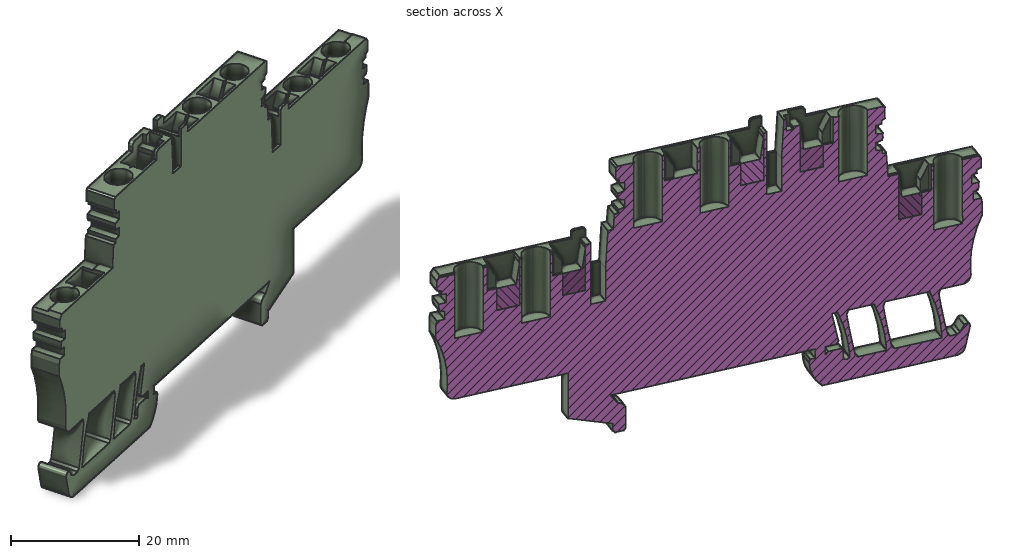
import cadquery as cq


thickness = 5.1
half_length = 46.3
total_height = 50.45
upper_deck_z = 48.8
lower_deck_z = 36.0
lower_deck_drop = 0.25
base_z = 12.8
rail_z = 7.0
upper_center_y = -7.0
upper_half_length = 22.8
upper_root_half_length = 23.35
mid_x = 0.13

overlap = 1.0

lower_end_half = 44.4
lower_end_arc_start_z = 14.3
lower_end_arc_mid = (45.05, 21.5)
lower_end_arc_end = (half_length, 24.75)
base_corner = lower_end_arc_start_z - base_z
lower_teeth = [
    (half_length, 27.0),
    (46.1, 27.9), (44.8, 27.9), (44.8, 29.3), (45.6, 29.5),
    (45.75, 30.1), (45.75, 30.9), (44.55, 30.9), (44.55, 32.4), (45.4, 32.6),
    (45.4, 33.2), (46.1, 33.45), (46.1, 35.2), (45.55, lower_deck_z),
]
upper_teeth = [
    (upper_root_half_length, lower_deck_z),
    (23.05, 40.1), (22.35, 40.2), (22.35, 40.8), (21.3, 41.0), (21.3, 42.3),
    (22.3, 42.6), (22.5, 43.1), (22.5, 43.8), (21.3, 44.05), (21.3, 45.4), (22.25, 45.6),
    (22.25, 46.2), (upper_half_length, 46.45), (upper_half_length, 48.5), (22.5, upper_deck_z),
]

groove_slit_x = (-1.95, -1.65)
groove_slit_depth = 0.3
lower_grooves = [(44.8, 27.9, 29.3), (44.55, 30.9, 32.4)]
upper_grooves = [(21.3, 41.0, 42.3), (21.3, 44.05, 45.4)]

lower_hump_y = (22.35, 20.0)
lower_hump_z = 37.4
lower_hump_round = 0.5
lower_bridge_step_y = 16.3
upper_hump_y = (-7.8, -17.2)
upper_hump_round = 0.75
hump_notch_x = (-1.15, 1.15)
hump_notch_y = (-13.15, -14.2)
hump_notch_depth = 0.5
upper_slot_wall_y = -9.8
bridge_slots = [
    (lower_hump_y[1], 30.6, lower_hump_z),
    (upper_slot_wall_y, 43.45, total_height),
]
slot_top_width = 2.85
slot_floor_width = 2.45
bridge_shaft_x = (-1.57, 2.05)
bridge_shaft_depth = 6.0

terminals = [
    (40.65, 37.3, lower_deck_z, True),
    (29.25, 26.15, lower_deck_z, True),
    (10.3, 7.2, upper_deck_z, False),
    (-0.9, -4.0, upper_deck_z, True),
    (-24.4, -20.72, upper_deck_z, True),
    (-40.5, -37.35, lower_deck_z, True),
]
entry_width = 4.2
entry_length = 4.75
entry_depth = 12.0
pocket_width = 3.9
pocket_length = 5.2
pocket_depth = 4.6
ramp_run = 1.4
ramp_drop = 2.6
ramp_slit_width = 0.5
ramp_slit_tip = 0.45
button_height = 4.0
button_lip_top = 0.8
button_lip_thickness = 0.55

foot_bar_top = 3.9
leg_tops_y = (-21.75, -27.95, -37.35)
leg_root_fillet = 0.45
hook_top_z = 5.4
hook_notch_y = 17.55
foot_web_y = (-17.95, -19.7)
web_x = (-0.5, thickness / 2)


def extrude_x(sketch, x_range):
    """Extrude a closed YZ outline between two X positions."""
    start, end = x_range
    return sketch.extrude(end - start).translate((start, 0, 0))


def block(x_range, y_range, z_range):
    """Box from its limits along each axis, in any order."""
    sizes = [abs(b - a) for a, b in (x_range, y_range, z_range)]
    lows = [min(limits) for limits in (x_range, y_range, z_range)]
    return cq.Workplane("XY").box(*sizes, centered=False).translate(tuple(lows))


full_x = (-thickness / 2, thickness / 2)
pocket_x = (mid_x - pocket_width / 2, mid_x + pocket_width / 2)


def lower_body():
    """Wide lower block: toothed ends, curved flanks, rounded bottom corners."""
    teeth_left = [(-y, z) for y, z in reversed(lower_teeth)]
    arc_y, arc_z = lower_end_arc_mid
    flank_y, flank_z = lower_end_arc_end
    sketch = (
        cq.Workplane("YZ")
        .moveTo(lower_end_half - base_corner, base_z)
        .radiusArc((lower_end_half, lower_end_arc_start_z), -base_corner)
        .threePointArc((arc_y, arc_z), (flank_y, flank_z))
    )
    for point in lower_teeth + teeth_left:
        sketch = sketch.lineTo(*point)
    sketch = (
        sketch.lineTo(-flank_y, flank_z)
        .threePointArc((-arc_y, arc_z), (-lower_end_half, lower_end_arc_start_z))
        .radiusArc((base_corner - lower_end_half, base_z), -base_corner)
        .close()
    )
    seam_step = block(
        (full_x[0], mid_x), (-half_length, half_length), (lower_deck_z - lower_deck_drop, lower_deck_z)
    )
    return extrude_x(sketch, full_x).cut(seam_step)


def upper_body():
    """Narrower upper block with the same kind of toothed ends."""
    root = [(upper_root_half_length, lower_deck_z - overlap)]
    half = root + upper_teeth
    outline = [(upper_center_y + y, z) for y, z in half]
    outline += [(upper_center_y - y, z) for y, z in reversed(half)]
    return extrude_x(cq.Workplane("YZ").polyline(outline).close(), full_x)


def hump(y_range, root_z, top_z, corner):
    """Raised marker strip with rounded upper corners."""
    strip = block(full_x, y_range, (root_z - overlap, top_z))
    return strip.edges("|X and >Z").fillet(corner)


def humps():
    lower_far_side = block(
        full_x,
        (lower_hump_y[1], lower_bridge_step_y - overlap),
        (lower_deck_z - overlap, lower_hump_z),
    )
    lower = hump(lower_hump_y, lower_deck_z, lower_hump_z, lower_hump_round).union(lower_far_side)
    upper = hump(upper_hump_y, upper_deck_z, total_height, upper_hump_round)
    return lower.union(upper)


def rail_section():
    """Middle block down to the rail face, with the fixed rail hook at its +Y end."""
    sketch = (
        cq.Workplane("YZ")
        .moveTo(23.85, base_z + overlap)
        .lineTo(23.85, 4.5)
        .lineTo(16.3, 1.7)
        .lineTo(16.3, 0.4)
        .lineTo(15.9, 0)
        .lineTo(14.4, 0)
        .lineTo(14.05, 0.4)
        .lineTo(14.05, 4.2)
        .threePointArc((14.6, 4.95), (15.4, hook_top_z))
        .lineTo(hook_notch_y, hook_top_z)
        .lineTo(hook_notch_y, rail_z)
        .lineTo(-21.6, rail_z)
        .lineTo(-21.95, 7.6)
        .lineTo(-20.85, base_z)
        .lineTo(-20.85, base_z + overlap)
        .close()
    )
    return extrude_x(sketch, full_x)


def rail_foot():
    """Springy foot: a bar with a catch at each end."""
    sketch = (
        cq.Workplane("YZ")
        .moveTo(-19.2, 0)
        .threePointArc((-17.65, 2.05), (-16.9, 4.85))
        .lineTo(-17.1, hook_top_z)
        .lineTo(-19.45, hook_top_z)
        .lineTo(-20.15, 6.1)
        .lineTo(-22.2, 6.1)
        .threePointArc((-22.65, 5.9), (-22.8, 5.4))
        .lineTo(-22.8, 4.2)
        .threePointArc((-23.25, foot_bar_top), (-23.7, 4.2))
        .lineTo(-24.5, foot_bar_top)
        .lineTo(-42.0, foot_bar_top)
        .lineTo(-42.5, 4.2)
        .lineTo(-43.2, 5.35)
        .threePointArc((-43.95, 5.4), (-44.25, 4.8))
        .lineTo(-43.45, 1.25)
        .threePointArc((-42.95, 0.4), (-42.0, 0))
        .close()
    )
    return extrude_x(sketch, full_x)


def leg(top_y):
    """Thin curved leg hanging from the base, tapering down to the foot bar."""
    sketch = (
        cq.Workplane("YZ")
        .moveTo(top_y, base_z + overlap)
        .lineTo(top_y, base_z)
        .threePointArc((top_y - 1.35, 8.8), (top_y - 2.05, foot_bar_top + leg_root_fillet))
        .lineTo(top_y - 2.05, foot_bar_top - overlap)
        .lineTo(top_y - 3.45, foot_bar_top - overlap)
        .lineTo(top_y - 3.45, foot_bar_top)
        .lineTo(top_y - 3.05, foot_bar_top + leg_root_fillet)
        .threePointArc((top_y - 2.15, 8.8), (top_y - 1.6, 12.1))
        .lineTo(top_y - 1.9, base_z)
        .lineTo(top_y - 1.9, base_z + overlap)
        .close()
    )
    return extrude_x(sketch, full_x)


def rail_webs():
    """Small webs that close the hook notch and join the foot to the rail face."""
    hook_web = [
        (hook_notch_y, rail_z),
        (16.65, rail_z),
        (15.4, hook_top_z),
        (hook_notch_y, hook_top_z),
    ]
    webs = extrude_x(cq.Workplane("YZ").polyline(hook_web).close(), web_x)
    return webs.union(block(web_x, foot_web_y, (hook_top_z - overlap, rail_z + overlap)))


def bridge_slot(wall_y, floor_z, top_z):
    """Tapered slot across the housing with a deeper shaft for a plug-in bridge."""
    floor_far_y = wall_y - slot_floor_width
    outline = [
        (wall_y, floor_z),
        (wall_y, top_z),
        (wall_y - slot_top_width, top_z),
        (floor_far_y, floor_z),
    ]
    slot = extrude_x(cq.Workplane("YZ").polyline(outline).close(), full_x)
    shaft = block(bridge_shaft_x, (wall_y, floor_far_y), (floor_z - bridge_shaft_depth, floor_z))
    return slot.union(shaft)


def hump_openings():
    """Passages that carry on from the pockets through the humps, at deck level."""
    lower = block(pocket_x, lower_hump_y, (lower_deck_z - lower_deck_drop, total_height))
    upper_near = block(pocket_x, (upper_hump_y[0], upper_slot_wall_y), (upper_deck_z, total_height))
    upper_far = block(pocket_x, (hump_notch_y[1], upper_hump_y[1]), (upper_deck_z, total_height))
    notch = block(hump_notch_x, hump_notch_y, (upper_deck_z - hump_notch_depth, total_height))
    return [lower, upper_near, upper_far, notch]


def wire_entry(entry_y, deck_z):
    """Blind hole for the wire, slightly elongated along the housing."""
    return (
        cq.Workplane("XY", origin=(0, entry_y, deck_z - entry_depth))
        .slot2D(entry_length, entry_width, 90)
        .extrude(entry_depth)
    )


def entry_side(entry_y, edge_y):
    """+1 where the wire entry lies on the +Y side of its pocket, else -1."""
    return 1 if entry_y > edge_y else -1


def button_pocket(entry_y, edge_y, deck_z, has_button):
    """Pocket with a slit ramp beside the wire entry; it is deeper where a button sits."""
    side = entry_side(entry_y, edge_y)
    end_y = edge_y - side * pocket_length
    ramp_foot_y = edge_y - side * ramp_run
    floor_z = deck_z - pocket_depth
    bottom_z = floor_z - button_height if has_button else floor_z
    outline = [
        (edge_y, deck_z),
        (ramp_foot_y, deck_z - ramp_drop),
        (ramp_foot_y, bottom_z),
        (end_y, bottom_z),
        (end_y, deck_z),
    ]
    pocket = extrude_x(cq.Workplane("YZ").polyline(outline).close(), pocket_x)
    half_slit = ramp_slit_width / 2
    slit_outline = [
        (mid_x - half_slit, ramp_foot_y),
        (mid_x - half_slit, edge_y),
        (mid_x, edge_y + side * ramp_slit_tip),
        (mid_x + half_slit, edge_y),
        (mid_x + half_slit, ramp_foot_y),
    ]
    slit = (
        cq.Workplane("XY", origin=(0, 0, floor_z))
        .polyline(slit_outline)
        .close()
        .extrude(pocket_depth)
    )
    return pocket.union(slit)


def groove_slits():
    """Slits in the groove floors at both ends of both levels."""
    slits = []
    for center_y, grooves in ((0, lower_grooves), (upper_center_y, upper_grooves)):
        for floor, bottom_z, top_z in grooves:
            for side in (1, -1):
                floor_y = center_y + side * floor
                deep_y = floor_y - side * groove_slit_depth
                slits.append(block(groove_slit_x, (floor_y, deep_y), (bottom_z, top_z)))
    return slits


def make_housing():
    body = lower_body().union(upper_body()).union(humps())
    body = body.union(rail_section()).union(rail_foot()).union(rail_webs())
    for top_y in leg_tops_y:
        body = body.union(leg(top_y))
    for slot in bridge_slots:
        body = body.cut(bridge_slot(*slot))
    for opening in hump_openings() + groove_slits():
        body = body.cut(opening)
    for entry_y, edge_y, deck_z, has_button in terminals:
        body = body.cut(wire_entry(entry_y, deck_z))
        body = body.cut(button_pocket(entry_y, edge_y, deck_z, has_button))
    return body


def make_button(entry_y, edge_y, deck_z):
    """Button filling the lower pocket, with a tapered lip up the pocket end wall."""
    side = entry_side(entry_y, edge_y)
    end_y = edge_y - side * pocket_length
    ramp_foot_y = edge_y - side * ramp_run
    face_z = deck_z - pocket_depth
    outline = [
        (ramp_foot_y, face_z - button_height),
        (ramp_foot_y, face_z),
        (end_y + side * button_lip_thickness, face_z),
        (end_y, deck_z - button_lip_top),
        (end_y, face_z - button_height),
    ]
    return extrude_x(cq.Workplane("YZ").polyline(outline).close(), pocket_x)


housing = make_housing()
buttons = [
    make_button(entry_y, edge_y, deck_z)
    for entry_y, edge_y, deck_z, has_button in terminals
    if has_button
]

result = cq.Compound.makeCompound([housing.val(), *[button.val() for button in buttons]])